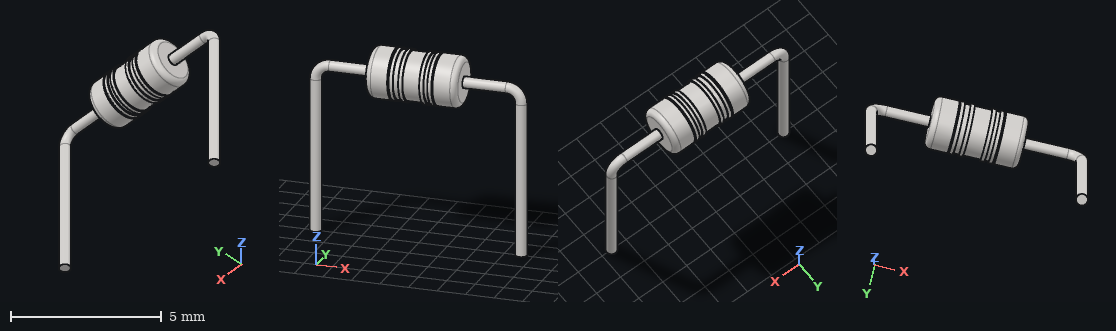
import cadquery as cq

overall_length = 7.6
overall_height = 6.8

body_length = 3.21
body_diameter = 1.8
waist_diameter = 1.7
cap_length = 0.805
cap_rounding = 0.21

band_width = 0.145
band_centers = (-0.68, -0.34, 0.395, 0.68)

wire_diameter = 0.4
bend_radius = 0.5

body_half = body_length / 2
band_step = (body_diameter - waist_diameter) / 2
wire_x = (overall_length - wire_diameter) / 2
lead_drop = overall_height - body_diameter / 2


def cylinder_along_x(start_x, length, diameter):
    """Cylinder centred on the X axis, running toward +X from start_x."""
    return cq.Workplane("YZ", origin=(start_x, 0, 0)).circle(diameter / 2).extrude(length)


def make_body():
    """Waist with a cap at each end, rounded outside and bevelled inside, and the raised bands."""
    waist_length = body_length - 2 * cap_length
    body = cylinder_along_x(-waist_length / 2, waist_length, waist_diameter)
    left_cap = cylinder_along_x(-body_half, cap_length + band_step, body_diameter)
    left_cap = left_cap.faces("<X").edges().fillet(cap_rounding)
    left_cap = left_cap.faces(">X").edges().chamfer(band_step)
    body = body.union(left_cap).union(left_cap.mirror("YZ"))
    for center in band_centers:
        body = body.union(cylinder_along_x(center - band_width / 2, band_width, body_diameter))
    return body


def make_left_lead():
    """Wire from the body's centre out to -X, bent down to its tip."""
    path = (
        cq.Workplane("XZ")
        .moveTo(0, 0)
        .lineTo(-wire_x + bend_radius, 0)
        .radiusArc((-wire_x, -bend_radius), -bend_radius)
        .lineTo(-wire_x, -lead_drop)
    )
    return cq.Workplane("YZ").circle(wire_diameter / 2).sweep(path)


left_lead = make_left_lead()
result = make_body().union(left_lead).union(left_lead.mirror("YZ"))